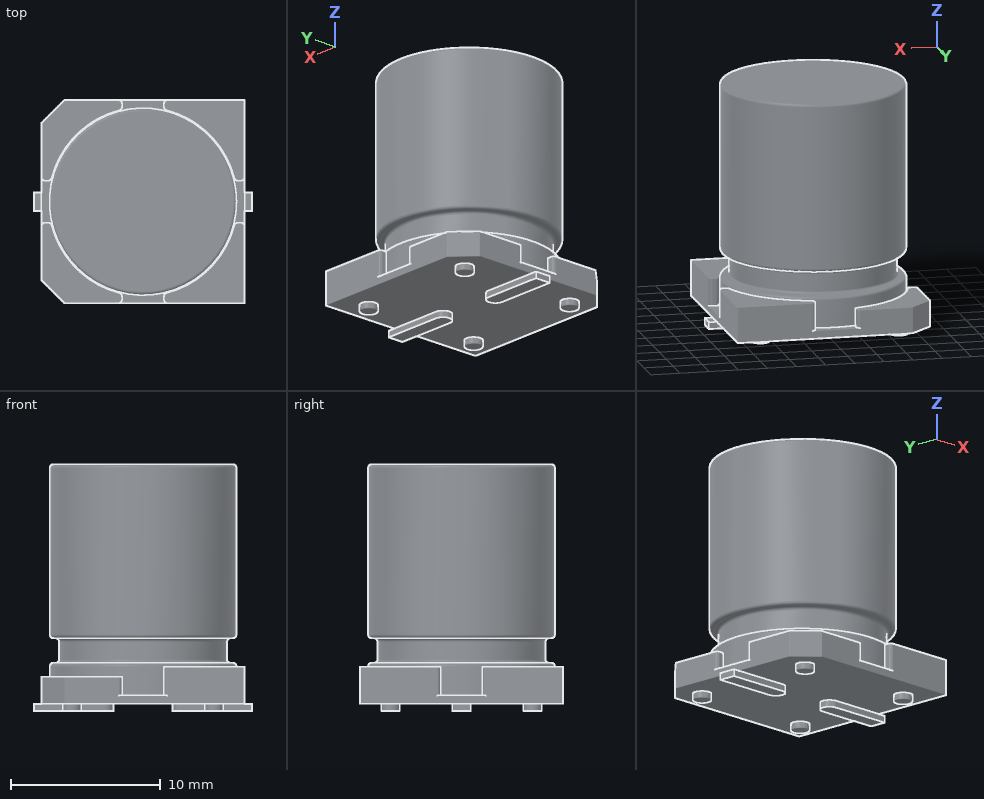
import cadquery as cq

height = 16.5
can_radius = 12.5 / 2
neck_radius = 11.25 / 2
lip_round = 0.25
lower_neck_round = 0.2
upper_neck_round = 0.25
ring_top = 3.23
can_shoulder = 4.87

base_width = 13.6
base_bottom = 0.48
slot_floor = 1.07
low_block_top = 2.31
high_block_top = 2.97
corner_cut = 1.55
slot_width = 2.8
block_round = 0.25
edge_round = 0.05
seat_clearance = 0.05

lead_span = 14.6
lead_width = 1.25
lead_inner_end = 1.96
foot_diameter = 1.25
foot_offset = 4.75
foot_edge_round = 0.07


def make_can():
    """Revolved can: closed top, crimped neck and a lower ring standing in the base."""
    neck_bottom = ring_top + lower_neck_round
    neck_top = can_shoulder - upper_neck_round
    lip_inner_radius = can_radius - lip_round
    arc_mid = 1 - 0.5 ** 0.5
    lip_mid = lip_round * arc_mid
    lower_mid = lower_neck_round * arc_mid
    upper_mid = upper_neck_round * arc_mid
    profile = (
        cq.Workplane("XZ")
        .moveTo(0, slot_floor)
        .lineTo(can_radius, slot_floor)
        .lineTo(can_radius, ring_top - lip_round)
        .threePointArc((can_radius - lip_mid, ring_top - lip_mid), (lip_inner_radius, ring_top))
        .lineTo(neck_radius + lower_neck_round, ring_top)
        .threePointArc((neck_radius + lower_mid, ring_top + lower_mid), (neck_radius, neck_bottom))
        .lineTo(neck_radius, neck_top)
        .threePointArc(
            (neck_radius + upper_mid, can_shoulder - upper_mid),
            (neck_radius + upper_neck_round, can_shoulder),
        )
        .lineTo(lip_inner_radius, can_shoulder)
        .threePointArc(
            (can_radius - lip_mid, can_shoulder + lip_mid),
            (can_radius, can_shoulder + lip_round),
        )
        .lineTo(can_radius, height - lip_round)
        .threePointArc((can_radius - lip_mid, height - lip_mid), (lip_inner_radius, height))
        .lineTo(0, height)
        .close()
    )
    return profile.revolve(360, (0, 0, 0), (0, 1, 0))


def make_base():
    """Square base with two cut corners, four corner blocks, a round seat and four slots."""
    base = (
        cq.Workplane("XY")
        .workplane(offset=base_bottom)
        .rect(base_width, base_width)
        .extrude(high_block_top - base_bottom)
        .edges("|Z and <X")
        .chamfer(corner_cut)
        .edges("|Z")
        .fillet(edge_round)
    )
    above_floor = cq.Workplane("XY").workplane(offset=slot_floor)
    base = base.cut(above_floor.circle(can_radius + seat_clearance).extrude(height))
    base = base.cut(above_floor.rect(slot_width, 2 * base_width).extrude(height))
    base = base.cut(above_floor.rect(2 * base_width, slot_width).extrude(height))

    above_low_blocks = cq.Workplane("XY").workplane(offset=low_block_top)
    base = base.cut(above_low_blocks.center(-base_width / 2, 0).rect(base_width, base_width).extrude(height))

    for length, width in ((base_width, slot_width), (slot_width, base_width)):
        near_slot = edges_within(length, width, slot_floor, high_block_top)
        base = base.edges("|Z").edges(near_slot).fillet(block_round)

    for level in (base_bottom, low_block_top, high_block_top):
        base = base.edges(edges_within(base_width, base_width, level, level)).fillet(edge_round)
    for side in ("<X", ">X", "<Y", ">Y"):
        mouth = edges_within(base_width, base_width, slot_floor, slot_floor)
        base = base.edges(mouth).edges(side).fillet(edge_round)
    return base


def edges_within(length, width, bottom, top):
    """Selector for edges centred in a box about the Z axis, with a little slack all round."""
    slack = edge_round / 2
    return cq.selectors.BoxSelector(
        (-length / 2 - slack, -width / 2 - slack, bottom - slack),
        (length / 2 + slack, width / 2 + slack, top + slack),
    )


def make_lead():
    """Flat lead on the +X side with a fully rounded inner end."""
    arc_centre = lead_inner_end + lead_width / 2
    outer_end = lead_span / 2
    return (
        cq.Workplane("XY")
        .moveTo(outer_end, lead_width / 2)
        .lineTo(arc_centre, lead_width / 2)
        .threePointArc((lead_inner_end, 0), (arc_centre, -lead_width / 2))
        .lineTo(outer_end, -lead_width / 2)
        .close()
        .extrude(base_bottom)
    )


def make_feet():
    """Four round stand-off feet."""
    return (
        cq.Workplane("XY")
        .rect(2 * foot_offset, 2 * foot_offset, forConstruction=True)
        .vertices()
        .circle(foot_diameter / 2)
        .extrude(base_bottom)
        .faces("<Z")
        .edges()
        .fillet(foot_edge_round)
    )


lead = make_lead()
result = make_base().union(make_can()).union(lead).union(lead.mirror("YZ")).union(make_feet())